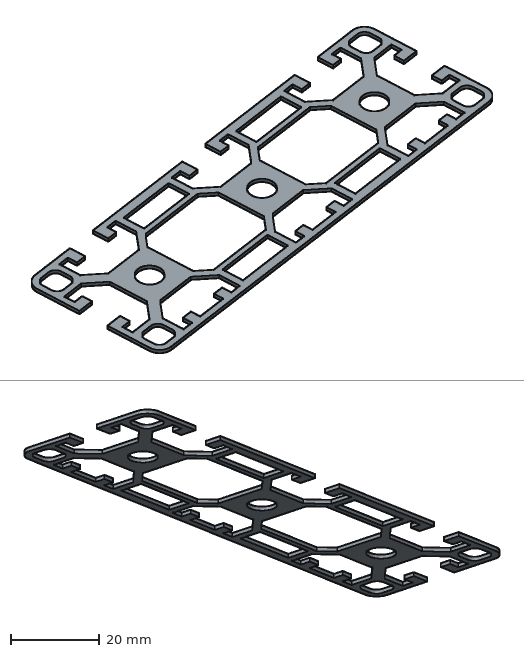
import cadquery as cq
import math

cell_size = 40.0
cell_count = 3
thickness = 1.0
outer_radius = 3.5
wall = 1.8

opening_width = 8.2
lip_depth = 4.5
lip_inner_half_width = 7.0
channel_half_width = 10.0
slot_floor = 7.6
strut_width = 3.0

core_hole_diameter = 6.8

corner_hollow_wall = 1.75
corner_hollow_size = 6.5
corner_hollow_radius = 2.0

middle_hollow_width = 2 * channel_half_width
middle_hollow_length = 25.2
middle_hollow_chamfer = 3.3
side_hollow_width = 6.0
side_hollow_length = 16.0
side_hollow_wall = 2.5

half_width = cell_size / 2
strut_offset = strut_width / math.sqrt(2)
length = cell_size * cell_count
slot_wall_face = half_width - wall
cell_centres = [(i - (cell_count - 1) / 2) * cell_size for i in range(cell_count)]
gap_centres = [y + half_width for y in cell_centres[:-1]]


def plate():
    return cq.Workplane("XY").box(cell_size, length, thickness).edges("|Z").fillet(outer_radius)


def through(sketch):
    """Extrude a mid-plane sketch through the whole plate."""
    return sketch.extrude(thickness, both=True)


def t_slot(cell_y, angle, is_open):
    """T-slot drawn facing +X, turned by angle about the cell centre."""
    half_profile = [
        (slot_floor, slot_floor - strut_offset),
        (channel_half_width + strut_offset, channel_half_width),
        (slot_wall_face, channel_half_width),
        (slot_wall_face, lip_inner_half_width),
        (half_width - lip_depth, lip_inner_half_width),
        (half_width - lip_depth, opening_width / 2),
        (half_width if is_open else slot_wall_face, opening_width / 2),
    ]
    mirrored = [(x, -y) for x, y in reversed(half_profile)]
    slot = through(cq.Workplane("XY").polyline(half_profile + mirrored).close())
    return slot.rotate((0, 0, 0), (0, 0, 1), angle).translate((0, cell_y, 0))


def t_slots():
    slots = [t_slot(cell_centres[-1], 90, True), t_slot(cell_centres[0], -90, True)]
    for y in cell_centres:
        slots.append(t_slot(y, 180, True))
        slots.append(t_slot(y, 0, False))
    return slots


def core_holes():
    points = [(0, y) for y in cell_centres]
    return through(cq.Workplane("XY").pushPoints(points).circle(core_hole_diameter / 2))


def corner_hollows():
    inset = corner_hollow_wall + corner_hollow_size / 2
    hollows = through(
        cq.Workplane("XY")
        .rect(cell_size - 2 * inset, length - 2 * inset, forConstruction=True)
        .vertices()
        .rect(corner_hollow_size, corner_hollow_size)
    )
    return hollows.edges("|Z").fillet(corner_hollow_radius)


def middle_hollows():
    points = [(0, y) for y in gap_centres]
    hollows = through(
        cq.Workplane("XY").pushPoints(points).rect(middle_hollow_width, middle_hollow_length)
    )
    return hollows.edges("|Z").chamfer(middle_hollow_chamfer)


def side_hollows():
    x = half_width - side_hollow_wall - side_hollow_width / 2
    points = [(side * x, y) for side in (-1, 1) for y in gap_centres]
    return through(
        cq.Workplane("XY").pushPoints(points).rect(side_hollow_width, side_hollow_length)
    )


result = plate()
for cutter in t_slots() + [core_holes(), corner_hollows(), middle_hollows(), side_hollows()]:
    result = result.cut(cutter)